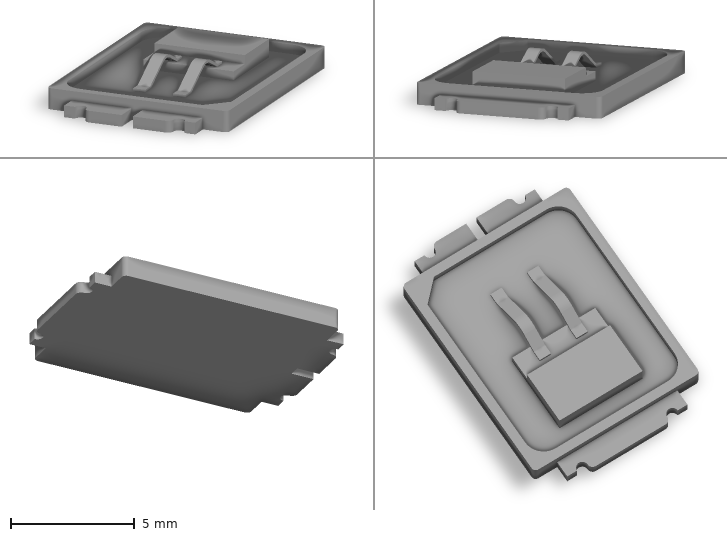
import cadquery as cq
import math

frame_width = 8.0
frame_length = 9.8
frame_height = 0.9
frame_corner_radius = 0.2
wall = 0.4
cavity_corner_radius = 0.9
cavity_key_chamfer = 0.88

lead_thickness = 0.5
lead_span = 11.8
lead_width = 5.79
tip_notch_radius = 0.25
tip_notch_x = 2.17
back_lead_end_y = -1.4
front_lead_end_y = -1.9
front_lead_gap = 0.5

chip_width = 4.0
chip_front_y = 0.2
chip_step_y = 1.3
chip_back_y = 3.7
chip_ledge_height = 0.4
chip_height = 0.78

pad_margin = 0.12
left_pad_inner_x = -0.32
right_pad_inner_x = 0.31
right_pad_notch_width = 0.31
right_pad_notch_length = 0.18
pad_depth = 0.06

window_width = 3.48
window_length = 1.17
window_center_y = 2.51
window_depth = 0.1

clip_x = 0.88
clip_width = 0.54
clip_thickness = 0.12
clip_back_y = 0.94
clip_front_y = -2.71
clip_top_z = 1.48
clip_apex_y = -0.58
clip_apex_radius = 0.83
clip_bend_radius = 0.12
clip_back_slope = 27.0
clip_front_slope = 31.0

cavity_width = frame_width - 2 * wall
cavity_length = frame_length - 2 * wall
cavity_front_y = -cavity_length / 2
frame_end_y = frame_length / 2
lead_tip_y = lead_span / 2
shoulder_y = lead_tip_y - tip_notch_radius
chip_ledge_z = lead_thickness + chip_ledge_height
chip_top_z = lead_thickness + chip_height


def block(x_range, y_range, z_range):
    """Box between two limits along each axis."""
    (x0, x1), (y0, y1), (z0, z1) = x_range, y_range, z_range
    return cq.Workplane("XY").box(x1 - x0, y1 - y0, z1 - z0, centered=False).translate((x0, y0, z0))


def make_lead_tab(inner_x):
    """Right half of a back lead tab, from inner_x out to its notched shoulder."""
    r = tip_notch_radius
    diagonal = r * math.sqrt(0.5)
    rounding_x = tip_notch_x - 2 * r
    return (
        cq.Workplane("XY")
        .moveTo(inner_x, frame_end_y)
        .lineTo(inner_x, lead_tip_y)
        .lineTo(rounding_x, lead_tip_y)
        .threePointArc((rounding_x + diagonal, shoulder_y + diagonal), (tip_notch_x - r, shoulder_y))
        .threePointArc((tip_notch_x, shoulder_y - r), (tip_notch_x + r, shoulder_y))
        .lineTo(lead_width / 2, shoulder_y)
        .lineTo(lead_width / 2, frame_end_y)
        .close()
        .extrude(lead_thickness)
    )


def make_cavity():
    """Cavity space from the underside up: three round corners and one chamfered key corner."""
    return (
        cq.Workplane("XY")
        .rect(cavity_width, cavity_length)
        .extrude(frame_height)
        .edges("|Z and >X and <Y").chamfer(cavity_key_chamfer)
        .edges("|Z and (<X or >Y)").fillet(cavity_corner_radius)
    )


def make_package():
    """Frame, leads and cavity floor as one solid; the floor keeps a face for each lead."""
    cavity = make_cavity()
    package = (
        cq.Workplane("XY")
        .rect(frame_width, frame_length)
        .extrude(frame_height)
        .edges("|Z").fillet(frame_corner_radius)
        .cut(cavity)
    )

    floor_x = cavity_width / 2
    floor_z = (0, lead_thickness)
    slot_x = front_lead_gap / 2
    back_floor = block((-floor_x, floor_x), (back_lead_end_y, -cavity_front_y), floor_z)
    right_floor = block((slot_x, floor_x), (cavity_front_y, front_lead_end_y), floor_z)
    left_floor = right_floor.mirror("YZ")
    whole_floor = block((-floor_x, floor_x), (cavity_front_y, -cavity_front_y), floor_z)
    filler = whole_floor.cut(back_floor).cut(right_floor).cut(left_floor)
    for floor_part in (back_floor, right_floor, left_floor, filler):
        package = package.union(floor_part.intersect(cavity), clean=False)

    back_half = make_lead_tab(0)
    back_tab = back_half.union(back_half.mirror("YZ"))
    right_tab = make_lead_tab(slot_x).mirror("XZ")
    left_tab = right_tab.mirror("YZ")
    for tab in (back_tab, right_tab, left_tab):
        package = package.union(tab, clean=False)
    return package


def make_window():
    """Rectangular plate let into the chip's top."""
    half_width, half_length = window_width / 2, window_length / 2
    return block(
        (-half_width, half_width),
        (window_center_y - half_length, window_center_y + half_length),
        (chip_top_z - window_depth, chip_top_z),
    )


def make_chip(window):
    """Stepped chip with a window seat; each contact pad keeps its own face on the ledge."""
    half_width = chip_width / 2
    chip_y = (chip_front_y, chip_back_y)
    chip = block((-half_width, half_width), chip_y, (lead_thickness, chip_top_z))
    ledge_space = block((-half_width, half_width), (chip_front_y, chip_step_y), (chip_ledge_z, chip_top_z))
    chip = chip.cut(ledge_space).cut(window)

    pad_outer_x = half_width - pad_margin
    pad_y = (chip_front_y + pad_margin, chip_step_y)
    pad_z = (chip_ledge_z - pad_depth, chip_ledge_z)
    left_pad = block((-pad_outer_x, left_pad_inner_x), pad_y, pad_z)
    right_pad_notch = block(
        (right_pad_inner_x, right_pad_inner_x + right_pad_notch_width),
        (chip_step_y - right_pad_notch_length, chip_step_y),
        pad_z,
    )
    right_pad = block((right_pad_inner_x, pad_outer_x), pad_y, pad_z).cut(right_pad_notch)
    for pad in (left_pad, right_pad):
        chip = chip.cut(pad, clean=False).union(pad, clean=False)
    return chip


def clip_side(depth, direction, slope, foot_top_z):
    """Points of half a clip profile, at a depth below its upper surface.

    They run from the apex to the foot: apex, middle and end of the hump arc, then start, middle
    and end of the bend arc. The direction is +1 for the back half and -1 for the front half.
    """
    angle = math.radians(slope)
    hump_z = clip_top_z - clip_apex_radius
    bend_z = foot_top_z + clip_bend_radius
    center_distance = clip_apex_radius + clip_bend_radius
    bend_run = (center_distance - (bend_z - hump_z) * math.cos(angle)) / math.sin(angle)
    hump_radius = clip_apex_radius - depth
    bend_radius = clip_bend_radius + depth

    points = []
    for turn in (0, angle / 2, angle):
        run = hump_radius * math.sin(turn)
        points.append((clip_apex_y + direction * run, hump_z + hump_radius * math.cos(turn)))
    for turn in (angle, angle / 2, 0):
        run = bend_run - bend_radius * math.sin(turn)
        points.append((clip_apex_y + direction * run, bend_z - bend_radius * math.cos(turn)))
    return points


def add_surface(profile, rising, falling):
    """Continue a profile over the hump: up one half's points and down the other's."""
    _, rise_mid, rise_end, bend_start, bend_mid, bend_end = rising
    profile = profile.lineTo(*bend_end).threePointArc(bend_mid, bend_start)
    apex, fall_mid, fall_end, bend_start, bend_mid, bend_end = falling
    return (
        profile.lineTo(*rise_end)
        .threePointArc(apex, fall_end)
        .lineTo(*bend_start)
        .threePointArc(bend_mid, bend_end)
    )


def make_clip(center_x):
    """Ribbon with one foot on a contact pad, a humped span and one foot on a front lead."""
    back_foot_top = chip_ledge_z + clip_thickness
    front_foot_top = lead_thickness + clip_thickness
    back_top = clip_side(0, 1, clip_back_slope, back_foot_top)
    front_top = clip_side(0, -1, clip_front_slope, front_foot_top)
    back_under = clip_side(clip_thickness, 1, clip_back_slope, back_foot_top)
    front_under = clip_side(clip_thickness, -1, clip_front_slope, front_foot_top)

    profile = cq.Workplane("YZ").moveTo(clip_back_y, chip_ledge_z).lineTo(clip_back_y, back_foot_top)
    profile = add_surface(profile, back_top, front_top)
    profile = profile.lineTo(clip_front_y, front_foot_top).lineTo(clip_front_y, lead_thickness)
    profile = add_surface(profile, front_under, back_under)
    return profile.close().extrude(clip_width / 2, both=True).translate((center_x, 0, 0))


package = make_package()
window = make_window()
chip = make_chip(window)
clips = [make_clip(x) for x in (-clip_x, clip_x)]

result = cq.Compound.makeCompound([
    package.val(),
    chip.val(),
    window.val(),
    *[clip.val() for clip in clips],
])